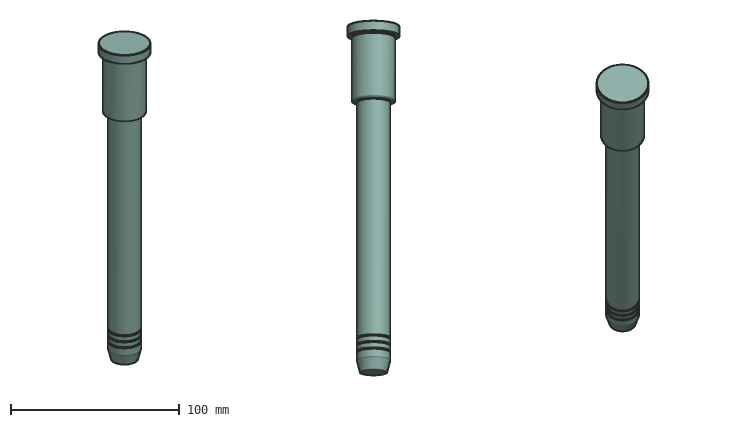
import cadquery as cq

total_length = 211.0

head_diameter = 31.0
head_thickness = 6.0
head_chamfer = 0.5

collar_diameter = 26.0
collar_end_depth = 46.0
collar_fillet = 0.8

relief_depth = 0.2
head_relief_width = 1.3
collar_relief_width = 0.6

shank_diameter = 20.0

tip_length = 7.4
tip_diameter = 16.2
tip_fillet = 0.5

groove_count = 3
groove_pitch = 4.0
groove_width = 1.0
groove_depth = 0.5
lowest_groove_height = 12.5

tip_end_z = -total_length / 2
head_top_z = total_length / 2
head_bottom_z = head_top_z - head_thickness
collar_end_z = head_top_z - collar_end_depth


def cylinder(diameter, bottom_z, top_z):
    return (
        cq.Workplane("XY")
        .workplane(offset=bottom_z)
        .circle(diameter / 2)
        .extrude(top_z - bottom_z)
    )


def ring_groove(outer_diameter, depth, width, middle_z):
    """V-shaped ring of material to remove from a cylinder of the given diameter."""
    outer_radius = outer_diameter / 2
    return (
        cq.Workplane("XZ")
        .moveTo(outer_radius, middle_z - width / 2)
        .lineTo(outer_radius - depth, middle_z)
        .lineTo(outer_radius, middle_z + width / 2)
        .close()
        .revolve(360, (0, 0, 0), (0, 1, 0))
    )


def make_head():
    head = cylinder(head_diameter, head_bottom_z, head_top_z)
    return head.faces(">Z").edges().chamfer(head_chamfer)


def make_collar():
    collar = cylinder(collar_diameter, collar_end_z, head_bottom_z)
    collar = collar.faces("<Z").edges().fillet(collar_fillet)
    relief_z = head_bottom_z - head_relief_width / 2
    return collar.cut(ring_groove(collar_diameter, relief_depth, head_relief_width, relief_z))


def make_shank():
    """Shank with a relief at its top, ring grooves and a tapered tip."""
    shoulder_z = tip_end_z + tip_length
    shank = cylinder(shank_diameter, shoulder_z, collar_end_z)
    relief_z = collar_end_z - collar_relief_width / 2
    shank = shank.cut(ring_groove(shank_diameter, relief_depth, collar_relief_width, relief_z))
    for index in range(groove_count):
        groove_z = tip_end_z + lowest_groove_height + index * groove_pitch
        shank = shank.cut(ring_groove(shank_diameter, groove_depth, groove_width, groove_z))
    tip = (
        cq.Workplane("XY")
        .workplane(offset=tip_end_z)
        .circle(tip_diameter / 2)
        .workplane(offset=tip_length)
        .circle(shank_diameter / 2)
        .loft(ruled=True)
    )
    tip = tip.faces("<Z").edges().fillet(tip_fillet)
    return shank.union(tip)


result = make_head().union(make_collar()).union(make_shank())